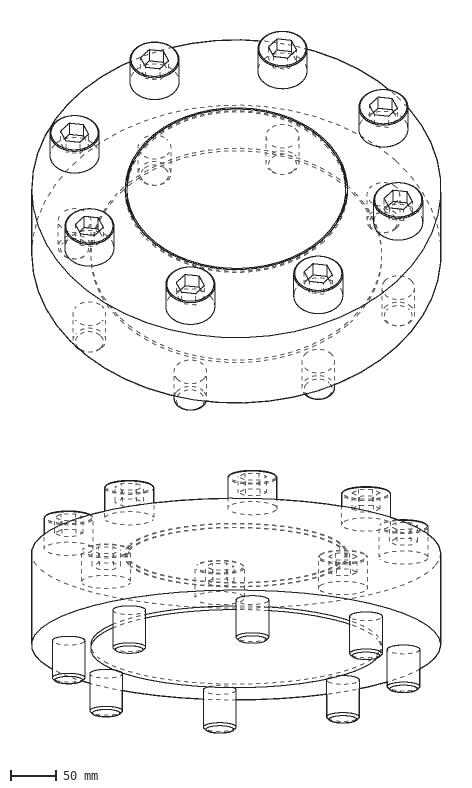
import cadquery as cq
import math

flange_diameter = 450.0
flange_thickness = 105.0
raised_face_diameter = 320.0
raised_face_height = 4.0

gap_outer_diameter = 244.5
gap_width = 2.0
gap_depth = 4.5

bolt_count = 8
bolt_circle_diameter = 370.0
head_diameter = 54.0
head_height = 36.0
head_chamfer = 1.12
shank_diameter = 36.0
shank_projection = 45.0
shank_chamfer = 2.5
socket_across_flats = 27.0
socket_depth = 18.0

flange_bottom = -flange_thickness
bolt_pitch_angle = 360 / bolt_count
bolt_radius = bolt_circle_diameter / 2
bolt_angles = [math.radians((i + 0.5) * bolt_pitch_angle) for i in range(bolt_count)]
bolt_centers = [(bolt_radius * math.cos(a), bolt_radius * math.sin(a)) for a in bolt_angles]


def make_flange():
    """Round flange with a raised face below and an annular gap on top."""
    disc = cq.Workplane("XY").circle(flange_diameter / 2).extrude(-flange_thickness)
    raised_face = (
        cq.Workplane("XY")
        .workplane(offset=flange_bottom)
        .circle(raised_face_diameter / 2)
        .extrude(-raised_face_height)
    )
    gap_outer_radius = gap_outer_diameter / 2
    gap = (
        cq.Workplane("XY")
        .circle(gap_outer_radius)
        .circle(gap_outer_radius - gap_width)
        .extrude(-gap_depth)
    )
    return disc.union(raised_face).cut(gap)


def make_bolt():
    """Bolt on the Z axis with its head resting on z = 0."""
    head = (
        cq.Workplane("XY")
        .circle(head_diameter / 2)
        .extrude(head_height)
        .faces(">Z")
        .chamfer(head_chamfer)
    )
    shank = (
        cq.Workplane("XY")
        .circle(shank_diameter / 2)
        .extrude(-(flange_thickness + shank_projection))
        .faces("<Z")
        .chamfer(shank_chamfer)
    )
    socket_across_corners = socket_across_flats / math.cos(math.pi / 6)
    socket = (
        cq.Workplane("XY")
        .workplane(offset=head_height)
        .transformed(rotate=(0, 0, 90))
        .polygon(6, socket_across_corners)
        .extrude(-socket_depth)
    )
    return head.union(shank).cut(socket)


result = make_flange()
bolt = make_bolt()
for x, y in bolt_centers:
    result = result.union(bolt.translate((x, y, 0)))